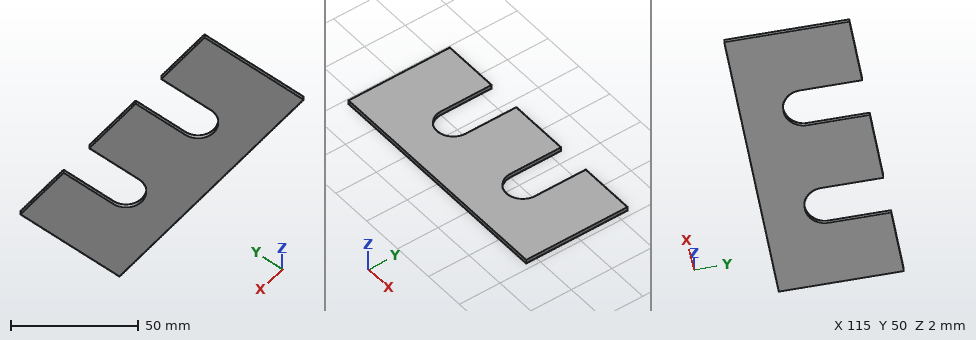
import cadquery as cq

length = 115.0
width = 50.0
thickness = 2.0

slot_width = 16.0
slot_depth = 33.0
slot_spacing = 45.0

slot_radius = slot_width / 2
open_edge_y = width / 2
arc_center_y = open_edge_y - slot_depth + slot_radius


def slot_cutter(center_x):
    """Solid that removes one slot through the full thickness."""
    return (
        cq.Workplane("XY")
        .moveTo(center_x - slot_radius, open_edge_y)
        .lineTo(center_x - slot_radius, arc_center_y)
        .threePointArc(
            (center_x, open_edge_y - slot_depth),
            (center_x + slot_radius, arc_center_y),
        )
        .lineTo(center_x + slot_radius, open_edge_y)
        .close()
        .extrude(thickness)
    )


result = cq.Workplane("XY").box(length, width, thickness, centered=(True, True, False))
for side in (-1, 1):
    result = result.cut(slot_cutter(side * slot_spacing / 2))